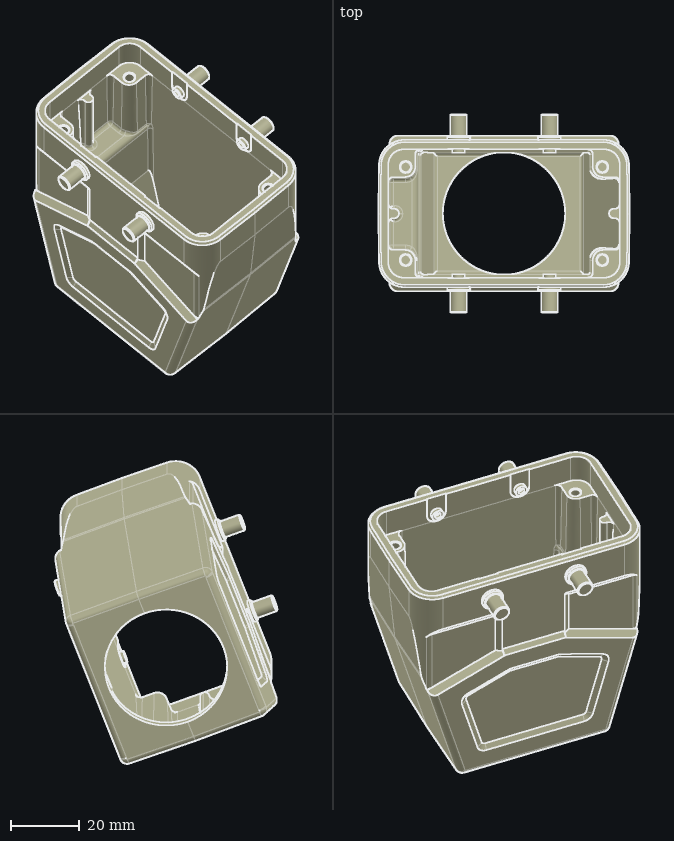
import cadquery as cq
import math

LENGTH = 73.0
RIM_WIDTH = 42.8
BLOCK_WIDTH = 45.25
PIN_SPAN = 57.6
HEIGHT = 72.0

RIM_CORNER_RADIUS = 7.5
OUTER_DRAFT = 0.7
RIM_CHAMFER_HEIGHT = 0.9
RIM_CHAMFER_WIDTH = 0.65
TAPER_START_Z = 60.7
KINK_Z = 40.0
KINK_RADIUS = 5.1
FLANK_BASE_X = 24.1
FLANK_SLOPE = 0.264
TUBE_BOTTOM_Z = 29.2

CHEVRON_TOP_Z = 44.3
CHEVRON_FLAT_X = 9.8
SHOULDER_SLOPE = 0.362
BEVEL_RISE = 1.5
BLOCK_EDGE_RADIUS = 2.1

RECESS_DEPTH = 1.0
RECESS_WALL_RUN = 1.8
SIDE_RECESS_X = 9.85
SIDE_RECESS_TOP_Z = 59.0
SIDE_RECESS_CORNER_RADIUS = 0.7
SIDE_RECESS_BLEND_RADIUS = 2.55
PANEL_BOTTOM_Z = 7.8
PANEL_TOP_Z = 36.95
PANEL_FLAT_X = 7.9
PANEL_FLANK_INSET = 8.4
PANEL_CORNER_RADIUS = 2.9

MOUTH_LENGTH = 67.15
MOUTH_WIDTH = 37.2
MOUTH_CORNER_RADIUS = 4.4
SHELF_Z = 62.8
FLOOR_Z = 2.9
WALL_DRAFT = 1.0
FLOOR_FILLET = 1.0
FLOOR_LEFT_X = -20.2
FLOOR_RIGHT_X = 22.85
LEDGE_Z = 40.15
LEDGE_INNER_X = -24.8
LEDGE_RADIUS = 2.05
LEDGE_FILLET = 1.1
LEFT_WALL_X = -24.2
LEFT_KNEE_Z = 19.0
RIGHT_WALL_SLOPE = 0.244
CABLE_HOLE_DIAMETER = 35.5

POST_FACE_X = 25.8
POST_FACE_Y = 10.6
POST_CORNER_RADIUS = 2.9
POST_ROOT_RADIUS = 1.45
SCREW_X = 28.55
SCREW_Y = 13.5
SCREW_HOLE_DIAMETER = 3.0
SCREW_MOUTH_DIAMETER = 3.5
SCREW_HOLE_DEPTH = 18.25
RIB_X = 31.8
RIB_DIAMETER = 2.7
RIB_TOP_Z = 62.05
RIB_WALL_WIDTH = 4 * RIB_DIAMETER
RIB_NOSE_RADIUS = 1.3
RIB_ROOT_RADIUS = 1.45
RIB_FOOT_RADIUS = 1.0

PIN_X = 13.2
PIN_Z = 65.4
PIN_DIAMETER = 4.9
PIN_TIP_CHAMFER = 0.3
COLLAR_DIAMETER = 6.5
COLLAR_CHAMFER = 0.45
RIVET_DIAMETER = 3.5
RIVET_HEIGHT = 1.0
RIVET_HOLE_DIAMETER = 1.9
RIVET_HOLE_DEPTH = 1.1
SLOT_WIDTH = 6.0
SLOT_DEPTH = 0.2

SIDES = (-1, 1)
CORNERS = [(sx, sy) for sx in SIDES for sy in SIDES]
CLEARANCE = 7.3
NEAR = 0.7
THIN = 0.1


def flank_x(z):
    """Half length of the lower body at height z."""
    return FLANK_BASE_X + FLANK_SLOPE * z


def mirrored(points):
    """Closed outline made of the points with x > 0 and their mirror images."""
    return points + [(-x, other) for x, other in reversed(points)]


def box_around(x, y, z, half_x, half_y, half_z):
    """Selector for whatever is centred inside a box about the point."""
    return cq.selectors.BoxSelector(
        (x - half_x, y - half_y, z - half_z),
        (x + half_x, y + half_y, z + half_z),
    )


def pentagon(bottom_z, top_z, flat_x, flank_inset):
    """Chevron-topped outline between the two sloping flanks, as (x, z) points."""
    base_x = FLANK_BASE_X - flank_inset
    apex_z = top_z + SHOULDER_SLOPE * flat_x
    shoulder_x = (base_x + FLANK_SLOPE * apex_z) / (1 + FLANK_SLOPE * SHOULDER_SLOPE)
    return mirrored(
        [
            (base_x + FLANK_SLOPE * bottom_z, bottom_z),
            (shoulder_x, apex_z - SHOULDER_SLOPE * shoulder_x),
            (flat_x, top_z),
        ]
    )


def prism_along_y(points, width):
    """Solid with the (x, z) outline, centred on the XZ plane."""
    return cq.Workplane("XZ").polyline(points).close().extrude(width / 2, both=True)


def drafted_half(points, width):
    """Front half of a body that is widest on the XZ plane and narrows towards -Y."""
    return cq.Workplane("XZ").polyline(points).close().extrude(width / 2, taper=OUTER_DRAFT)


def sloped_recess(points, corner_radius, face_y):
    """Cutter for a front recess that narrows from the face at -face_y to its floor."""
    outline = cq.Sketch().polygon(points + points[:1]).vertices().fillet(corner_radius)
    slope = math.degrees(math.atan2(RECESS_WALL_RUN, RECESS_DEPTH))
    return cq.Workplane("XZ", origin=(0, -face_y, 0)).placeSketch(outline).extrude(-RECESS_DEPTH, taper=slope)


def upper_tube():
    """Rounded rim section, faintly crowned at both ends and tapering below the rim."""
    half_length = LENGTH / 2
    half_width = RIM_WIDTH / 2
    corner_x = half_length - half_width * math.tan(math.radians(OUTER_DRAFT))
    plan = mirrored([(corner_x, -half_width), (half_length, 0), (corner_x, half_width)])
    tube = (
        cq.Workplane("XY", origin=(0, 0, TUBE_BOTTOM_Z))
        .polyline(plan)
        .close()
        .extrude(HEIGHT - TUBE_BOTTOM_Z)
    )
    for sx, sy in CORNERS:
        corner = box_around(sx * corner_x, sy * half_width, HEIGHT / 2, NEAR, NEAR, HEIGHT)
        tube = tube.edges("|Z").edges(corner).fillet(RIM_CORNER_RADIUS)

    kink_x = flank_x(KINK_Z)
    end_slope = (half_length - kink_x) / (TAPER_START_Z - KINK_Z)
    top_z = HEIGHT + CLEARANCE
    silhouette = drafted_half(
        mirrored(
            [
                (flank_x(0), 0),
                (kink_x, KINK_Z),
                (kink_x + end_slope * (top_z - KINK_Z), top_z),
            ]
        ),
        BLOCK_WIDTH,
    )
    kinks = box_around(0, -BLOCK_WIDTH / 4, KINK_Z, LENGTH, NEAR, NEAR)
    silhouette = silhouette.edges(kinks).fillet(KINK_RADIUS)
    silhouette = silhouette.union(silhouette.mirror("XZ"))
    tube = tube.intersect(silhouette)
    tube = side_recesses(tube)
    return tube.faces(">Z").chamfer(RIM_CHAMFER_HEIGHT, RIM_CHAMFER_WIDTH)


def side_recesses(tube):
    """Four recesses that run out through the rounded corners of the tube."""
    reach = LENGTH / 2 + CLEARANCE
    for side in SIDES:
        points = [
            (side * SIDE_RECESS_X, TUBE_BOTTOM_Z - CLEARANCE),
            (side * SIDE_RECESS_X, SIDE_RECESS_TOP_Z),
            (side * reach, SIDE_RECESS_TOP_Z),
            (side * reach, TUBE_BOTTOM_Z - CLEARANCE),
        ]
        recess = sloped_recess(points, SIDE_RECESS_CORNER_RADIUS, RIM_WIDTH / 2)
        tube = tube.cut(recess).cut(recess.mirror("XZ"))

    drop = RIM_CORNER_RADIUS - RECESS_DEPTH
    exit_x = LENGTH / 2 - RIM_CORNER_RADIUS + math.sqrt(RIM_CORNER_RADIUS**2 - drop**2)
    floor_y = RIM_WIDTH / 2 - RECESS_DEPTH
    middle_z = (TUBE_BOTTOM_Z + SIDE_RECESS_TOP_Z) / 2
    for sx, sy in CORNERS:
        corner_edge = box_around(sx * exit_x, sy * floor_y, middle_z, NEAR, NEAR, CLEARANCE)
        tube = tube.edges(corner_edge).fillet(SIDE_RECESS_BLEND_RADIUS)
    return tube


def bevelled_roof(bevel_depth):
    """Wide chevron-topped slab whose top edges are bevelled on both broad sides."""
    eave_z = CHEVRON_TOP_Z - SHOULDER_SLOPE * (LENGTH - CHEVRON_FLAT_X)
    points = mirrored([(LENGTH, -LENGTH), (LENGTH, eave_z), (CHEVRON_FLAT_X, CHEVRON_TOP_Z)])
    core_width = BLOCK_WIDTH - 2 * bevel_depth
    bevel = (
        cq.Workplane("XZ", origin=(0, -core_width / 2, 0))
        .polyline(points)
        .close()
        .extrude(bevel_depth, taper=math.degrees(math.atan2(BEVEL_RISE, bevel_depth)))
    )
    return prism_along_y(points, core_width).union(bevel).union(bevel.mirror("XZ"))


def lower_block():
    """Chevron-topped block with sloping flanks and a faint crown along its middle."""
    half = drafted_half(pentagon(0, CHEVRON_TOP_Z + CLEARANCE, CHEVRON_FLAT_X, 0), BLOCK_WIDTH)
    flank_edges = box_around(0, -BLOCK_WIDTH / 2, KINK_Z / 2, LENGTH, NEAR, KINK_Z / 4)
    half = half.edges(flank_edges).fillet(BLOCK_EDGE_RADIUS)
    middle_edge = box_around(0, 0, 0, NEAR, NEAR, NEAR)
    bottom_edges = box_around(0, 0, 0, LENGTH, LENGTH, NEAR)
    half = half.edges(bottom_edges - middle_edge).fillet(BLOCK_EDGE_RADIUS)
    block = half.union(half.mirror("XZ"))

    wall_depth = (BLOCK_WIDTH - RIM_WIDTH) / 2
    middle = cq.Workplane("XY").box(2 * CHEVRON_FLAT_X, LENGTH, 2 * HEIGHT)
    roof = bevelled_roof(wall_depth + RECESS_DEPTH).union(bevelled_roof(wall_depth).intersect(middle))
    return block.intersect(roof)


def panel_recesses(body):
    points = pentagon(PANEL_BOTTOM_Z, PANEL_TOP_Z, PANEL_FLAT_X, PANEL_FLANK_INSET)
    panel = sloped_recess(points, PANEL_CORNER_RADIUS, BLOCK_WIDTH / 2)
    return body.cut(panel).cut(panel.mirror("XZ"))


def rib():
    """Round-nosed rib on the +X end wall, flaring into the wall along both sides."""
    nose_x = RIB_X - RIB_DIAMETER / 2
    wall_x = MOUTH_LENGTH / 2
    spine = cq.Workplane("XY").box(wall_x - nose_x, RIB_DIAMETER, RIB_TOP_Z, centered=(False, True, False))
    spine = spine.translate((nose_x, 0, 0)).edges("|Z and <X").fillet(RIB_NOSE_RADIUS)
    wall = cq.Workplane("XY").box(CLEARANCE, RIB_WALL_WIDTH, RIB_TOP_Z, centered=(False, True, False))
    shape = spine.union(wall.translate((wall_x, 0, 0)))
    roots = box_around(wall_x, 0, RIB_TOP_Z / 2, THIN, RIB_DIAMETER, RIB_TOP_Z)
    return shape.edges("|Z").edges(roots).fillet(RIB_ROOT_RADIUS)


def footed_rib():
    """The rib with a rounded foot where it stands on the ledge."""
    start_x = LEDGE_RADIUS - LEDGE_INNER_X
    length = MOUTH_LENGTH / 2 + CLEARANCE - start_x
    slab = cq.Workplane("XY").box(length, RIB_WALL_WIDTH, LEDGE_Z, centered=(False, True, False))
    slab = slab.translate((start_x, 0, 0))
    shape = rib().union(slab)
    foot = box_around(RIB_X, 0, LEDGE_Z, RIB_DIAMETER, RIB_DIAMETER, THIN)
    return shape.edges(foot).fillet(RIB_FOOT_RADIUS)


def drafted_cross():
    """Cross-shaped hollow between the four corner posts, narrowing downwards."""
    half_length = MOUTH_LENGTH / 2
    half_width = MOUTH_WIDTH / 2
    points = mirrored(
        [
            (POST_FACE_X, -half_width),
            (POST_FACE_X, -POST_FACE_Y),
            (half_length, -POST_FACE_Y),
            (half_length, POST_FACE_Y),
            (POST_FACE_X, POST_FACE_Y),
            (POST_FACE_X, half_width),
        ]
    )
    plan = cq.Sketch().polygon(points + points[:1])
    for sx, sy in CORNERS:
        for x, y, radius in (
            (POST_FACE_X, POST_FACE_Y, POST_CORNER_RADIUS),
            (POST_FACE_X, half_width, POST_ROOT_RADIUS),
            (half_length, POST_FACE_Y, POST_ROOT_RADIUS),
        ):
            plan = plan.vertices(box_around(sx * x, sy * y, 0, NEAR, NEAR, NEAR)).fillet(radius).reset()
    return cq.Workplane("XY", origin=(0, 0, SHELF_Z)).placeSketch(plan).extrude(-SHELF_Z, taper=WALL_DRAFT)


def cavity():
    """Solid that fills the hollow of the hood."""
    profile = [
        (FLOOR_RIGHT_X + RIGHT_WALL_SLOPE * (SHELF_Z - FLOOR_Z), SHELF_Z),
        (FLOOR_RIGHT_X, FLOOR_Z),
        (FLOOR_LEFT_X, FLOOR_Z),
        (LEFT_WALL_X, LEFT_KNEE_Z),
        (LEDGE_INNER_X, LEDGE_Z),
        (-LENGTH, LEDGE_Z),
        (-LENGTH, SHELF_Z),
    ]
    envelope = prism_along_y(profile, RIM_WIDTH)
    ledge_lip = box_around(LEDGE_INNER_X, 0, LEDGE_Z, NEAR, NEAR, NEAR)
    envelope = envelope.edges(ledge_lip).fillet(LEDGE_RADIUS)
    hollow = drafted_cross().intersect(envelope)
    hollow = hollow.faces("<Z").edges().fillet(FLOOR_FILLET)
    ledge_half = (MOUTH_LENGTH / 2 + LEDGE_INNER_X) / 2
    ledge_edges = box_around(-MOUTH_LENGTH / 2, 0, LEDGE_Z, ledge_half, 2 * POST_FACE_Y, THIN)
    hollow = hollow.edges(ledge_edges).fillet(LEDGE_FILLET)
    hollow = hollow.cut(rib()).cut(footed_rib().mirror("YZ"))
    mouth = (
        cq.Workplane("XY", origin=(0, 0, SHELF_Z))
        .rect(MOUTH_LENGTH, MOUTH_WIDTH)
        .extrude(HEIGHT - SHELF_Z)
        .edges("|Z")
        .fillet(MOUTH_CORNER_RADIUS)
    )
    return hollow.union(mouth)


def cable_hole(body):
    hole = cq.Workplane("XY").circle(CABLE_HOLE_DIAMETER / 2).extrude(2 * FLOOR_Z)
    return body.cut(hole)


def screw_holes(body):
    countersink = (SCREW_MOUTH_DIAMETER - SCREW_HOLE_DIAMETER) / 2
    for side_x, side_y in CORNERS:
        top = cq.Workplane("XY", origin=(side_x * SCREW_X, side_y * SCREW_Y, SHELF_Z))
        hole = top.circle(SCREW_HOLE_DIAMETER / 2).extrude(-SCREW_HOLE_DEPTH)
        mouth = top.circle(SCREW_MOUTH_DIAMETER / 2).extrude(-countersink, taper=45)
        body = body.cut(hole).cut(mouth)
    return body


def y_cylinder(diameter, x, start_y, end_y):
    """Cylinder at pin height, running along Y from start_y down to end_y."""
    plane = cq.Workplane("XZ", origin=(x, start_y, PIN_Z))
    return plane.circle(diameter / 2).extrude(start_y - end_y)


def front_pin_parts(x):
    """Keyhole slot, locking pin and rivet hole on the front wall."""
    inner_y = -MOUTH_WIDTH / 2
    outer_y = -RIM_WIDTH / 2
    rivet_y = inner_y + RIVET_HEIGHT
    slot = y_cylinder(SLOT_WIDTH, x, inner_y, inner_y - SLOT_DEPTH)
    slot_rise = HEIGHT - PIN_Z
    slot = slot.union(
        cq.Workplane("XY").box(SLOT_WIDTH, SLOT_DEPTH, slot_rise).translate(
            (x, inner_y - SLOT_DEPTH / 2, PIN_Z + slot_rise / 2)
        )
    )
    collar = y_cylinder(COLLAR_DIAMETER, x, outer_y, -BLOCK_WIDTH / 2).faces("<Y").chamfer(COLLAR_CHAMFER)
    shaft = y_cylinder(PIN_DIAMETER, x, outer_y, -PIN_SPAN / 2).faces("<Y").chamfer(PIN_TIP_CHAMFER)
    rivet = y_cylinder(RIVET_DIAMETER, x, rivet_y, outer_y)
    rivet_hole = y_cylinder(RIVET_HOLE_DIAMETER, x, rivet_y, rivet_y - RIVET_HOLE_DEPTH)
    return slot, collar.union(shaft).union(rivet), rivet_hole


def locking_pins(body):
    for side in SIDES:
        slot, pin, rivet_hole = front_pin_parts(side * PIN_X)
        body = body.cut(slot).cut(slot.mirror("XZ"))
        body = body.union(pin).union(pin.mirror("XZ"))
        body = body.cut(rivet_hole).cut(rivet_hole.mirror("XZ"))
    return body


body = upper_tube().union(lower_block())
body = panel_recesses(body)
body = body.cut(cavity())
body = cable_hole(body)
body = screw_holes(body)
result = locking_pins(body)